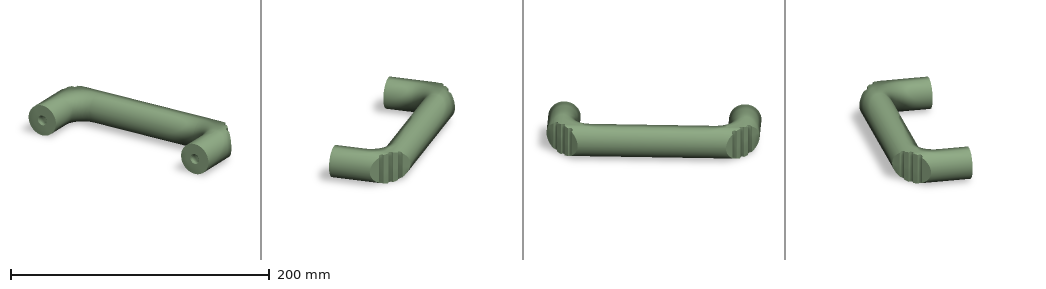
import cadquery as cq
import math

length = 165.0
height = 58.0
diameter = 25.0
inner_bend_radius = 9.9

groove_radius = 2.0
groove_pitch = 8.2
groove_shift = 0.7
groove_count = 3

hole_diameter = 6.6
hole_depth = 16.5
hole_mouth_diameter = 8.1
drill_point_angle = 118.0

radius = diameter / 2
bend_radius = inner_bend_radius + radius
leg_x = length / 2 - radius
bar_y = height - radius
bend_x = leg_x - bend_radius
bend_y = bar_y - bend_radius


def bar():
    """Round bar between the two leg axes."""
    return cq.Workplane("YZ", origin=(-leg_x, bar_y, 0)).circle(radius).extrude(2 * leg_x)


def leg():
    """Right-hand leg, from its end face up to the bar axis."""
    return cq.Workplane("XZ", origin=(leg_x, 0, 0)).circle(radius).extrude(-bar_y)


def bend():
    """Quarter-torus joining the leg to the bar."""
    path = (
        cq.Workplane("XY")
        .moveTo(leg_x, bend_y)
        .radiusArc((bend_x, bar_y), -bend_radius)
    )
    return cq.Workplane("XZ", origin=(leg_x, bend_y, 0)).circle(radius).sweep(path)


def corner_web():
    """Flat-sided filler between the bend arc and the leg and bar axes."""
    return (
        cq.Workplane("XY", origin=(0, 0, -radius))
        .moveTo(leg_x, bend_y)
        .lineTo(leg_x, bar_y)
        .lineTo(bend_x, bar_y)
        .radiusArc((leg_x, bend_y), bend_radius)
        .close()
        .extrude(diameter)
    )


def corner_cut():
    """45 degree corner removal through the axis crossing."""
    return (
        cq.Workplane("XY", origin=(leg_x, bar_y, -radius))
        .polyline([(-diameter, diameter), (diameter, -diameter), (diameter, diameter)])
        .close()
        .extrude(diameter)
    )


def grooves():
    """Half-round grooves across the 45 degree corner face."""
    step = groove_pitch / math.sqrt(2)
    shift = groove_shift / math.sqrt(2)
    offsets = [shift + (i - (groove_count - 1) / 2) * step for i in range(groove_count)]
    centers = [(-offset, offset) for offset in offsets]
    return (
        cq.Workplane("XY", origin=(leg_x, bar_y, -radius))
        .pushPoints(centers)
        .circle(groove_radius)
        .extrude(diameter)
    )


def mounting_hole():
    """Blind hole in the leg end, with a 45 degree mouth and a drill point."""
    hole_radius = hole_diameter / 2
    mouth_radius = hole_mouth_diameter / 2
    tip = hole_depth + hole_radius / math.tan(math.radians(drill_point_angle / 2))
    profile = (
        cq.Workplane("XY", origin=(leg_x, 0, 0))
        .polyline([
            (0, 0),
            (mouth_radius, 0),
            (hole_radius, mouth_radius - hole_radius),
            (hole_radius, hole_depth),
            (0, tip),
        ])
        .close()
    )
    return profile.revolve(360, (0, 0, 0), (0, 1, 0))


def mirrored(shape):
    """The shape together with its mirror image about the YZ plane."""
    return shape.union(shape.mirror("YZ"))


handle = bar()
for addition in (leg(), corner_web(), bend()):
    handle = handle.union(mirrored(addition))
for removal in (corner_cut(), grooves(), mounting_hole()):
    handle = handle.cut(mirrored(removal))

result = handle